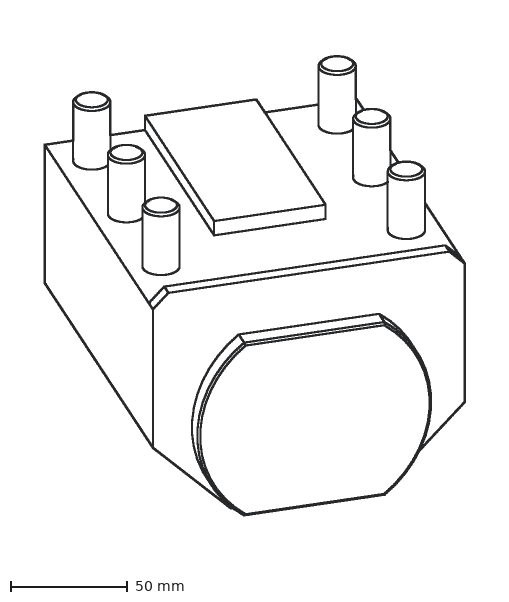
import cadquery as cq

total_length = 165.0
body_width = 140.0
total_height = 132.0

end_plate_thickness = 8.7
body_length = total_length - end_plate_thickness
body_height = 102.3
lower_cut = body_width / 4

raised_height = 7.0
pad_length = 100.0
pad_width = 50.0
rail_thickness = 6.0

pin_diameter = 16.0
pin_chamfer = 1.2
first_pin_x = 20.0
pin_pitch = 50.0
pins_per_row = 3
row_spacing = 110.0

plate_diameter = 105.0
plate_height = 84.0
plate_chamfer = 1.0


def make_body():
    half_width = body_width / 2
    bottom_half_width = half_width - lower_cut
    outline = [
        (-bottom_half_width, 0),
        (bottom_half_width, 0),
        (half_width, lower_cut),
        (half_width, body_height),
        (-half_width, body_height),
        (-half_width, lower_cut),
    ]
    return cq.Workplane("YZ").polyline(outline).close().extrude(body_length)


def make_pad():
    pad = cq.Workplane("XY").box(pad_length, pad_width, raised_height, centered=(False, True, False))
    return pad.translate((0, 0, body_height))


def make_rail():
    half_width = body_width / 2
    top_half_width = half_width - raised_height
    rail_top = body_height + raised_height
    outline = [
        (-half_width, body_height),
        (half_width, body_height),
        (top_half_width, rail_top),
        (-top_half_width, rail_top),
    ]
    plane = cq.Workplane("YZ", origin=(body_length - rail_thickness, 0, 0))
    return plane.polyline(outline).close().extrude(rail_thickness)


def make_end_plate():
    plane = cq.Workplane("YZ", origin=(body_length, 0, plate_height / 2))
    disc = plane.circle(plate_diameter / 2).extrude(end_plate_thickness)
    flats = plane.rect(plate_diameter, plate_height).extrude(end_plate_thickness)
    return disc.intersect(flats).faces(">X").chamfer(plate_chamfer)


def make_pins():
    positions = [
        (first_pin_x + index * pin_pitch, side * row_spacing / 2)
        for index in range(pins_per_row)
        for side in (-1, 1)
    ]
    base = cq.Workplane("XY", origin=(0, 0, body_height)).pushPoints(positions)
    pins = base.circle(pin_diameter / 2).extrude(total_height - body_height)
    return pins.faces(">Z").chamfer(pin_chamfer)


result = make_body().union(make_pad()).union(make_rail()).union(make_end_plate()).union(make_pins())